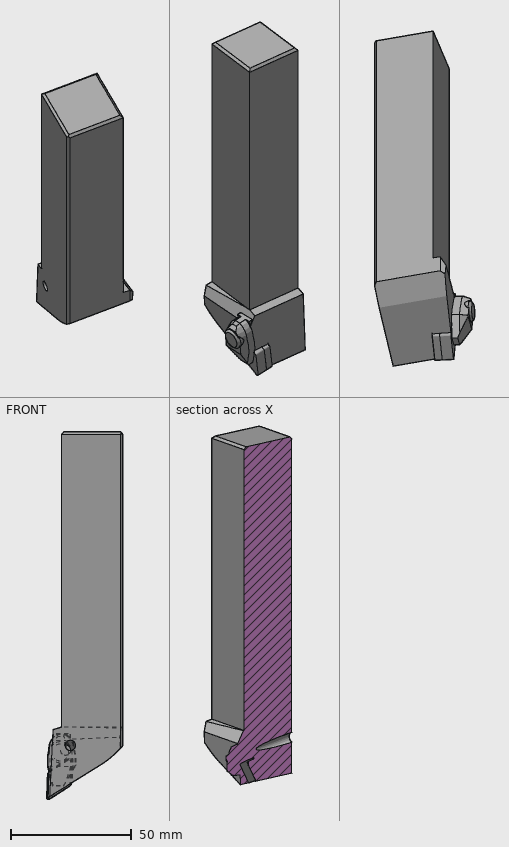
import cadquery as cq
import math

LENGTH = 152.4
SHANK = 25.5
EDGE_CHAMFER = 1.0

SHOULDER_Z = 30.2
SHOULDER_OUT = 3.5
SHOULDER_DROP = 1.0
HEAD_TIP = (-4.9, 1.4)
ARC_START = (17.2, 15.1)
ARC_MIDDLE = (21.5, 18.5)
HEEL_Z = 22.4
HEAD_DEPTH = 36.5
CORNER_Y = 28.5
CORNER_SLOPE = 1.5
CORNER_Z = 15.2

BEVEL_TOP_LEFT = (25.8, 28.7)
BEVEL_LOW_LEFT = (28.0, 24.8)
BEVEL_TOP_RIGHT = (28.5, 29.7)

TILT = 5.0
SLOPE = math.tan(math.radians(TILT))
SEAT_Y = 26.2
BIG = 91.5

HOLE_X, HOLE_Z = 3.7, 22.5
HOLE_DIAMETER = 4.3
HOLE_DEPTH = 22.9

INSERT_ANGLE = 55.0
INSERT_SIDE = 11.6
INSERT_THICKNESS = 4.7
NOSE_RADIUS = 0.8
INSERT_TIP = (-6.2, -0.6)
EDGE_LEAN = 32.5
SHIM_THICKNESS = 3.2
SHIM_INSET = 0.5
POCKET_GAP = 0.3

CLAMP_AXIS = (0.2, 20.3)
CLAMP_REAR = 7.2
CLAMP_REAR_HALF = 1.4
CLAMP_REAR_ARC = (3.8, 5.2)
CLAMP_SHOULDER = (5.2, 0.9)
CLAMP_HALF_WIDTH = 5.8
CLAMP_SIDE_START = 2.3
CLAMP_SIDE_END = 6.0
CLAMP_NOSE = 14.3
CLAMP_NOSE_LEFT = -3.8
CLAMP_NOSE_RIGHT = 0.8
CLAMP_HEIGHT = 6.7
CLAMP_REAR_HEIGHT = 4.4
CLAMP_REAR_SLOPE = 2.3
CLAMP_NOSE_HEIGHT = 2.5
CLAMP_UPRIGHT = 3.4
CLAMP_TAPER = 22.0
CLAMP_HEEL_WIDTH = 7.0
CLAMP_HEEL_LENGTH = 3.8
CLAMP_HEEL_DROP = 3.0
SCREW_HEAD_DIAMETER = 9.5
SCREW_HEAD_TOP = 7.6
SCREW_HEAD_CHAMFER = 1.2

SEAT_NORMAL = cq.Vector(-SLOPE, 1, -SLOPE)
SEAT_X_DIR = cq.Vector(1, SLOPE, 0)
SEAT_TOP = cq.selectors.DirectionMinMaxSelector(SEAT_NORMAL, True)


def seat_plane(x, z):
    """Seat plane with its origin at x, z; local x runs along +X and local y toward -Z."""
    return cq.Plane((x, SEAT_Y + SLOPE * (x + z), z), SEAT_X_DIR, SEAT_NORMAL)


def half_space(plane):
    """Large block on the positive side of a plane."""
    return cq.Workplane(plane).rect(2 * BIG, 2 * BIG).extrude(BIG)


def make_shank():
    bar = cq.Workplane("XY").box(SHANK, SHANK, LENGTH - SHOULDER_Z, centered=False)
    bar = bar.translate((0, 0, SHOULDER_Z))
    return bar.faces(">Z").chamfer(EDGE_CHAMFER)


def bevel_plane():
    """Plane of the steep bevel behind the head, facing +Y and +Z."""
    left_x = -SHOULDER_OUT
    top_left = cq.Vector(left_x, *BEVEL_TOP_LEFT)
    low_left = cq.Vector(left_x, *BEVEL_LOW_LEFT)
    top_right = cq.Vector(SHANK, *BEVEL_TOP_RIGHT)
    along = top_right - top_left
    normal = along.cross(low_left - top_left)
    return cq.Plane(top_left, along, normal)


def shoulder_plane():
    """Plane that falls gently from the shank's back edge to the bevel."""
    bevel_y, bevel_z = BEVEL_TOP_RIGHT
    fall = cq.Vector(0, bevel_y - SHANK, bevel_z - SHOULDER_Z)
    along = cq.Vector(1, 0, 0)
    return cq.Plane((0, SHANK, SHOULDER_Z), along, along.cross(fall))


def make_head():
    head = (
        cq.Workplane("XZ")
        .moveTo(0, SHOULDER_Z)
        .lineTo(-SHOULDER_OUT, SHOULDER_Z - SHOULDER_DROP)
        .lineTo(*HEAD_TIP)
        .lineTo(*ARC_START)
        .threePointArc(ARC_MIDDLE, (SHANK, HEEL_Z))
        .lineTo(SHANK, SHOULDER_Z)
        .close()
        .extrude(-HEAD_DEPTH)
    )
    head = head.cut(half_space(seat_plane(0, 0)))
    head = head.cut(half_space(bevel_plane()))
    head = head.cut(half_space(shoulder_plane()))
    return head.cut(back_corner_chamfer())


def back_corner_chamfer():
    """Wedge removed from the +X, +Y corner of the head."""
    return (
        cq.Workplane("XY", origin=(0, 0, CORNER_Z))
        .moveTo(SHANK, CORNER_Y)
        .lineTo(SHANK, HEAD_DEPTH)
        .lineTo(SHANK - (HEAD_DEPTH - CORNER_Y) / CORNER_SLOPE, HEAD_DEPTH)
        .close()
        .extrude(SHOULDER_Z - CORNER_Z)
    )


def front_edge_chamfer():
    """Corner strip removed along the whole +X, -Y edge."""
    return (
        cq.Workplane("XY")
        .polyline([(SHANK, 0), (SHANK, EDGE_CHAMFER), (SHANK - EDGE_CHAMFER, 0)])
        .close()
        .extrude(LENGTH)
    )


def screw_hole():
    """Blind hole from the -Y face, started a diameter early so that it opens fully."""
    mouth = cq.Plane((HOLE_X, 0, HOLE_Z), SEAT_X_DIR, SEAT_NORMAL)
    bore = cq.Workplane(mouth).workplane(offset=-HOLE_DIAMETER).circle(HOLE_DIAMETER / 2)
    return bore.extrude(HOLE_DEPTH + HOLE_DIAMETER)


def rhombus(depth, thickness):
    """Insert outline with rounded corners, its top face the given depth below the seat plane."""
    lower = math.radians(EDGE_LEAN)
    upper = math.radians(EDGE_LEAN + INSERT_ANGLE)
    right = (INSERT_SIDE * math.cos(lower), -INSERT_SIDE * math.sin(lower))
    left = (INSERT_SIDE * math.cos(upper), -INSERT_SIDE * math.sin(upper))
    far = (right[0] + left[0], right[1] + left[1])
    return (
        cq.Workplane(seat_plane(*INSERT_TIP))
        .workplane(offset=-depth)
        .polyline([(0, 0), right, far, left])
        .close()
        .extrude(-thickness)
        .edges(cq.selectors.ParallelDirSelector(SEAT_NORMAL))
        .fillet(NOSE_RADIUS)
    )


def grown_rhombus(growth, depth, thickness):
    """Insert outline grown (or shrunk when negative) all round."""
    outline = rhombus(depth, thickness).faces(SEAT_TOP).wires()
    return outline.toPending().offset2D(growth).extrude(-thickness)


def clamp_body(seat):
    """Rounded clamp plan with sides tapered above, widest ahead of the screw and narrow at the nose."""
    arc_x, arc_y = CLAMP_REAR_ARC
    shoulder_x, shoulder_y = CLAMP_SHOULDER
    body = (
        cq.Workplane(seat)
        .moveTo(-CLAMP_REAR_HALF, -CLAMP_REAR)
        .lineTo(CLAMP_REAR_HALF, -CLAMP_REAR)
        .threePointArc((arc_x, -arc_y), (shoulder_x, -shoulder_y))
        .lineTo(CLAMP_HALF_WIDTH, CLAMP_SIDE_START)
        .lineTo(CLAMP_HALF_WIDTH, CLAMP_SIDE_END)
        .lineTo(CLAMP_NOSE_RIGHT, CLAMP_NOSE)
        .lineTo(CLAMP_NOSE_LEFT, CLAMP_NOSE)
        .lineTo(-CLAMP_HALF_WIDTH, CLAMP_SIDE_END)
        .lineTo(-CLAMP_HALF_WIDTH, CLAMP_SIDE_START)
        .lineTo(-shoulder_x, -shoulder_y)
        .threePointArc((-arc_x, -arc_y), (-CLAMP_REAR_HALF, -CLAMP_REAR))
        .close()
        .extrude(CLAMP_UPRIGHT)
    )
    upper = body.faces(SEAT_TOP).wires().toPending()
    upper = upper.extrude(CLAMP_HEIGHT - CLAMP_UPRIGHT, taper=CLAMP_TAPER, combine=False)
    return body.union(upper)


def clamp_profile(seat):
    """Side shape of the clamp: short slope at the rear, flat top, long slope down to the nose."""
    side = cq.Plane(seat.origin, seat.yDir, seat.xDir)
    return (
        cq.Workplane(side)
        .moveTo(-CLAMP_REAR, 0)
        .lineTo(-CLAMP_REAR, CLAMP_REAR_HEIGHT)
        .lineTo(-CLAMP_REAR + CLAMP_REAR_SLOPE, CLAMP_HEIGHT)
        .lineTo(CLAMP_SIDE_END, CLAMP_HEIGHT)
        .lineTo(CLAMP_NOSE, CLAMP_NOSE_HEIGHT)
        .lineTo(CLAMP_NOSE, 0)
        .close()
        .extrude(CLAMP_HALF_WIDTH, both=True)
    )


def clamp_heel(seat):
    """Block below the clamp's rear that fills the space above the bevel."""
    return (
        cq.Workplane(seat)
        .center(0, CLAMP_HEEL_LENGTH / 2 - CLAMP_REAR)
        .rect(CLAMP_HEEL_WIDTH, CLAMP_HEEL_LENGTH)
        .extrude(-CLAMP_HEEL_DROP)
    )


def clamp_screw_head(seat):
    head = cq.Workplane(seat).circle(SCREW_HEAD_DIAMETER / 2).extrude(SCREW_HEAD_TOP)
    return head.faces(SEAT_TOP).chamfer(SCREW_HEAD_CHAMFER)


def make_clamp():
    """Clamp with its screw head, resting on the seat plane."""
    seat = seat_plane(*CLAMP_AXIS)
    body = clamp_body(seat).intersect(clamp_profile(seat))
    return body.union(clamp_heel(seat)).union(clamp_screw_head(seat))


def make_holder():
    holder = make_shank().union(make_head()).cut(front_edge_chamfer()).cut(screw_hole())
    holder = holder.cut(grown_rhombus(POCKET_GAP, 0, INSERT_THICKNESS + SHIM_THICKNESS))
    holder = holder.union(grown_rhombus(-SHIM_INSET, INSERT_THICKNESS, SHIM_THICKNESS))
    return holder.union(make_clamp())


holder = make_holder()
insert = rhombus(0, INSERT_THICKNESS)

result = cq.Compound.makeCompound([holder.val(), insert.val()])